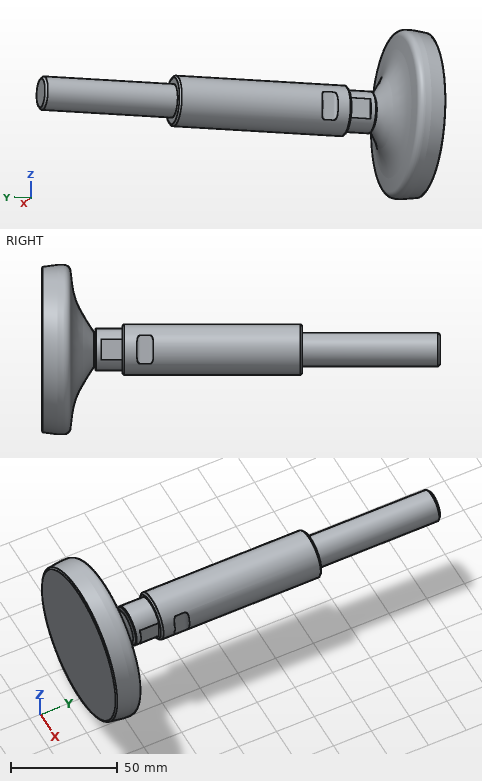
import cadquery as cq
import math

total_length = 188.0
sole_y = -total_length / 2

foot_radius = 40.0
taper_foot_radius = 39.1
sole_radius = 38.2
sole_edge_height = 0.5
rim_bottom = 7.5
rim_top = 10.3
shoulder_rounding = 3.4
brim_slope = math.radians(7)
cone_slope = math.radians(32)
blend_length = 7.5
cone_top_radius = 8.3
cone_top_height = 24.6

stem_radius = 10.0 / 2

collar_radius = 20.0 / 2
collar_bottom = 25.4
collar_chamfer = 0.4
collar_flat_bottom = 28.0
collar_flat_width = 17.5

sleeve_radius = 24.0 / 2
sleeve_bottom = 38.0
sleeve_top = 123.0
sleeve_chamfer = 1.0
slot_bottom = 45.0
slot_top = 52.6
slot_flat_width = 20.0
slot_fillet = 1.7

rod_radius = 16.0 / 2
rod_chamfer = 1.1


def cylinder(radius, bottom, top):
    """Cylinder along Y between two heights."""
    base = cq.Workplane("XZ", origin=(0, bottom, 0))
    return base.circle(radius).extrude(bottom - top)


def side_cutters(flat_width, bottom, top):
    """Two blocks that leave flats facing -X and +X."""
    depth = sleeve_radius
    height = top - bottom
    offset = (flat_width + depth) / 2
    block = cq.Workplane("XY").box(depth, height, 2 * sleeve_radius)
    middle = (bottom + top) / 2
    left = block.translate((-offset, middle, 0))
    right = block.translate((offset, middle, 0))
    return left, right


def make_foot():
    """Revolve the foot; the cone blends smoothly into the gently sloping brim and its rounded shoulder."""
    shoulder_start = (
        foot_radius - shoulder_rounding * (1 - math.sin(brim_slope)),
        rim_top + shoulder_rounding * math.cos(brim_slope),
    )
    drop = cone_top_height - shoulder_start[1]
    span = shoulder_start[0] - cone_top_radius
    brim_tangent = math.tan(brim_slope)
    corner_run = (drop - span * brim_tangent) / (math.tan(cone_slope) - brim_tangent)
    corner_radius = cone_top_radius + corner_run
    corner_height = cone_top_height - corner_run * math.tan(cone_slope)
    cone_end = (
        corner_radius - blend_length * math.cos(cone_slope),
        corner_height + blend_length * math.sin(cone_slope),
    )
    brim_start = (
        corner_radius + blend_length * math.cos(brim_slope),
        corner_height - blend_length * math.sin(brim_slope),
    )
    profile = (
        cq.Workplane("XY")
        .lineTo(0, cone_top_height)
        .lineTo(cone_top_radius, cone_top_height)
        .lineTo(*cone_end)
        .tangentArcPoint(brim_start, relative=False)
        .lineTo(*shoulder_start)
        .tangentArcPoint((foot_radius, rim_top), relative=False)
        .lineTo(foot_radius, rim_bottom)
        .lineTo(taper_foot_radius, sole_edge_height)
        .lineTo(sole_radius, 0)
        .close()
    )
    return profile.revolve(360, (0, 0, 0), (0, 1, 0))


def make_collar():
    collar = cylinder(collar_radius, collar_bottom, sleeve_bottom).faces("<Y").chamfer(collar_chamfer)
    for cutter in side_cutters(collar_flat_width, collar_flat_bottom, sleeve_bottom):
        collar = collar.cut(cutter)
    return collar


def make_sleeve():
    sleeve = cylinder(sleeve_radius, sleeve_bottom, sleeve_top)
    sleeve = sleeve.faces("<Y or >Y").chamfer(sleeve_chamfer)
    for cutter in side_cutters(slot_flat_width, slot_bottom, slot_top):
        inner_face = "<X" if cutter.val().Center().x > 0 else ">X"
        rounded = cutter.faces(inner_face).edges("|Z").fillet(slot_fillet)
        sleeve = sleeve.cut(rounded)
    return sleeve


stem = cylinder(stem_radius, cone_top_height, collar_bottom)
rod = cylinder(rod_radius, sleeve_top, total_length).faces(">Y").chamfer(rod_chamfer)

result = make_foot().union(stem).union(make_collar()).union(make_sleeve()).union(rod)
result = result.translate((0, sole_y, 0))